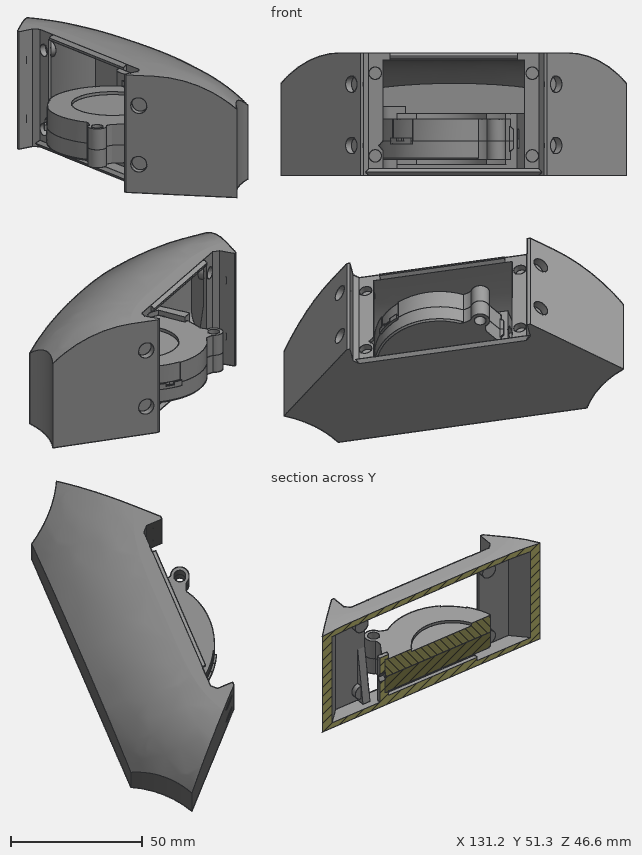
import cadquery as cq
import math

HALF_WIDTH = 65.6
HEIGHT = 46.6
DEPTH = 47.9
FRONT_HALF = 35.5
BACK_HALF = 48.0
SIDE_SAG = 2.0
CORNER_Y = HALF_WIDTH - FRONT_HALF
SIN_45 = math.sqrt(0.5)

DOME_SECTIONS = [(0, 49.2, 60.9), (30, 55.8, 55.5), (45, 60.9, 49.4)]
DOME_AXIS_Y = -FRONT_HALF
DOME_INNER_RADIUS = 26.3
DOME_OUTER_RADIUS = 99.8

ROOF = 2.8
FLOOR = 2.6
WALL = 3.3
FLANK_FILLET = 4.6

RECESS_HALF = 34.3
RECESS_DEPTH = 8.3
RECESS_CHAMFER = 2.0
OPENING_HALF = 26.8
FRONT_WALL = 1.3
FRONT_WALL_BACK = RECESS_DEPTH + FRONT_WALL
OPENING_TOP = HEIGHT - ROOF
GUSSET_TOP = 26.3
GUSSET_BACK = 13.4
GUSSET_WIDTH = 3.3
RIDGE = 1.2
TOP_RIDGE = 1.5
TOP_RIDGE_HALF = 24.2
TOP_RIDGE_FLAT_TOP = 45.4
TOP_RIDGE_FLAT_BOTTOM = 44.6

SCREW_DIAMETER = 4.7
SCREW_X = 29.8
SCREW_HEIGHTS = (7.5, 38.9)
SCREW_DEPTH = 2.6
BOSS_DIAMETER = 6.0
BOSS_BACK = 11.8
WING_HOLE_DIAMETER = 6.2
WING_HOLE_Y = 3.4
WING_HOLE_HEIGHTS = (11.4, 34.7)
WING_HOLE_DEPTH = 3.2

FAN_X = -3.7
FAN_RADIUS = 24.8
FAN_Y = FAN_RADIUS - 3.4
FAN_BACK = DEPTH - WALL
FAN_BOTTOM = 6.0
FAN_SPLIT = 13.1
FAN_TOP = 21.4
FAN_EDGE_CHAMFER = 0.7
EAR_X = 16.0
EAR_Y = 0.4
EAR_RADIUS = 3.5
EAR_HOLE_DIAMETER = 4.5
SHOULDER_X = 21.5
SHOULDER_Y = 13.8
SHOULDER_FRONT_X = 17.3
SHOULDER_FRONT_Y = 6.5
NECK_LEFT = [(7.2, 0.4), (11.5, -0.3), (14.3, -2.2)]
NECK_RIGHT = [(18.1, 2.5), (17.2, 4.5), (SHOULDER_FRONT_X, SHOULDER_FRONT_Y)]
INLET_X = -4.9
INLET_Y = 22.6
INLET_DIAMETER = 31.2
INLET_DEPTH = 1.2
LUG_BOTTOM = 10.2
LUG_TOP = 17.6
LUG_REACH = 1.0
LUG_LENGTH = 0.7
CLIP_START = 218.0
CLIP_END = 241.0
CLIP_MIDDLE = (CLIP_START + CLIP_END) / 2
CLIP_REACH = 0.9
CLIP_BOTTOM = 12.1
CLIP_TOP = 14.3
CLIP_SLOT = 3.4
CLIP_RELIEF = 0.4

CRADLE_TOP = 23.5
CRADLE_FLOOR = 4.2
CRADLE_FRONT = 14.0
CRADLE_LEFT = -21.5
CRADLE_RIGHT_FRONT = 24.0
CRADLE_RIGHT_BACK = 27.3
LIP_RADIUS = 18.6
LIP_RIGHT_FRONT = 19.7
LIP_CORNER = (21.5, 26.0)
LIP_CORNER_MIDDLE = (16.5, 28.5)
LIP_CORNER_END_X = 12.5
LIP_FLAT_X = -14.0
POST_LEFT = -28.2
POST_ROUND = 4.0
POST_RIGHT = -18.2
POST_FRONT = 39.4
POST_TOP = 26.1
WINDOW_Y = 18.4
NOTCH_X = -28.5


def prism(points, bottom, top):
    """Vertical prism over a closed plan outline."""
    return cq.Workplane("XY", origin=(0, 0, bottom)).polyline(points).close().extrude(top - bottom)


def disc(x, y, radius, bottom, top):
    return cq.Workplane("XY", origin=(x, y, bottom)).circle(radius).extrude(top - bottom)


def slab(bottom, top):
    """Level slab wider than the whole housing."""
    return disc(0, 0, 2 * HALF_WIDTH, bottom, top)


def plan_block(inset, front):
    """Full-height body over the plan outline, with all outer sides moved in by `inset`."""
    back = DEPTH - inset
    corner_x = HALF_WIDTH - inset * math.sqrt(2)
    back_half = BACK_HALF - inset * math.tan(math.pi / 8)
    front_half = FRONT_HALF - inset * math.sqrt(2) + front
    middle_x = (corner_x + back_half) / 2 - SIDE_SAG * SIN_45
    middle_y = (CORNER_Y + back) / 2 - SIDE_SAG * SIN_45
    return (
        cq.Workplane("XY")
        .moveTo(-front_half, front)
        .lineTo(front_half, front)
        .lineTo(corner_x, CORNER_Y)
        .threePointArc((middle_x, middle_y), (back_half, back))
        .lineTo(-back_half, back)
        .threePointArc((-middle_x, middle_y), (-corner_x, CORNER_Y))
        .close()
        .extrude(HEIGHT)
    )


def dome_section(angle, flat_radius, arc_radius, inset):
    """Upright closed section of the dome in the plane turned by `angle` from +Y."""
    turn = math.radians(angle)
    plane = cq.Plane(
        origin=(0, DOME_AXIS_Y, 0),
        xDir=(math.sin(turn), math.cos(turn), 0),
        normal=(math.cos(turn), -math.sin(turn), 0),
    )
    top = HEIGHT - inset
    radius = arc_radius - inset

    def arc_height(reach):
        return top - radius + math.sqrt(radius**2 - reach**2)

    reach = DOME_OUTER_RADIUS - flat_radius
    arc_middle = (flat_radius + reach / 2, arc_height(reach / 2))
    arc_end = (DOME_OUTER_RADIUS, arc_height(reach))
    return (
        cq.Workplane(plane)
        .moveTo(DOME_INNER_RADIUS, 0)
        .lineTo(DOME_INNER_RADIUS, top)
        .lineTo(flat_radius, top)
        .threePointArc(arc_middle, arc_end)
        .lineTo(DOME_OUTER_RADIUS, 0)
        .close()
        .wires()
        .val()
    )


def dome(inset):
    """Domed solid lofted through sections from one wing plane to the other."""
    left = [(-angle, flat, arc) for angle, flat, arc in reversed(DOME_SECTIONS[1:])]
    wires = [dome_section(*section, inset) for section in left + DOME_SECTIONS]
    return cq.Workplane(cq.Solid.makeLoft(wires))


def hollow():
    """Inner space, rounded where the floor meets the curved rear flanks."""
    space = plan_block(WALL, FRONT_WALL_BACK).cut(slab(0, FLOOR))
    space = space.faces("<Z").edges("%CIRCLE").fillet(FLANK_FILLET)
    return space.intersect(dome(ROOF))


def recess():
    inner_half = RECESS_HALF - RECESS_CHAMFER
    side_depth = RECESS_DEPTH - RECESS_CHAMFER
    return prism(
        [(-RECESS_HALF, 0), (RECESS_HALF, 0), (RECESS_HALF, side_depth), (inner_half, RECESS_DEPTH),
         (-inner_half, RECESS_DEPTH), (-RECESS_HALF, side_depth)],
        0, HEIGHT,
    )


def opening():
    return prism(
        [(-OPENING_HALF, RECESS_DEPTH), (OPENING_HALF, RECESS_DEPTH), (OPENING_HALF, FRONT_WALL_BACK),
         (-OPENING_HALF, FRONT_WALL_BACK)],
        FLOOR, OPENING_TOP,
    )


def snap_ridge(profile, half_length):
    """Ridge along the width of the recess; the profile is a list of (y, z) points."""
    return cq.Workplane("YZ").polyline(profile).close().extrude(half_length, both=True)


def snap_ridges():
    bottom = snap_ridge(
        [(RECESS_DEPTH, 0), (RECESS_DEPTH - RIDGE, FLOOR / 2), (RECESS_DEPTH, FLOOR)],
        RECESS_HALF - RECESS_CHAMFER + RIDGE,
    )
    crest = RECESS_DEPTH - TOP_RIDGE
    top = snap_ridge(
        [(RECESS_DEPTH, HEIGHT), (crest, TOP_RIDGE_FLAT_TOP), (crest, TOP_RIDGE_FLAT_BOTTOM),
         (RECESS_DEPTH, OPENING_TOP)],
        TOP_RIDGE_HALF,
    )
    return bottom.union(top)


def blind_holes():
    """Screw holes in the recess floor and holes square to the wings, on both sides."""
    solids = []
    for side in (-1, 1):
        for z in SCREW_HEIGHTS:
            start = cq.Vector(side * SCREW_X, RECESS_DEPTH, z)
            solids.append(cq.Solid.makeCylinder(SCREW_DIAMETER / 2, SCREW_DEPTH, start, cq.Vector(0, 1, 0)))
        for z in WING_HOLE_HEIGHTS:
            start = cq.Vector(side * (FRONT_HALF + WING_HOLE_Y), WING_HOLE_Y, z)
            inward = cq.Vector(-side, 1, 0)
            solids.append(cq.Solid.makeCylinder(WING_HOLE_DIAMETER / 2, WING_HOLE_DEPTH, start, inward))
    return cq.Workplane(cq.Compound.makeCompound(solids))


def hexagon(y, half_length):
    """Hexagonal bar from the middle towards +X, at the height of the blower lug."""
    middle = (LUG_BOTTOM + LUG_TOP) / 2
    tall = (LUG_TOP - LUG_BOTTOM) / 2
    return (
        cq.Workplane("YZ", origin=(0, y, middle))
        .polyline([(-tall, 0), (-tall / 2, tall), (tall / 2, tall),
                   (tall, 0), (tall / 2, -tall), (-tall / 2, -tall)])
        .close()
        .extrude(half_length)
    )


def lip_opening(bottom, top):
    """Cutout that leaves the faces of the blower clear: round at the back, open at the front."""
    corner_end = (LIP_CORNER_END_X, INLET_Y + math.sqrt(LIP_RADIUS**2 - (LIP_CORNER_END_X - INLET_X) ** 2))
    flat_y = INLET_Y + math.sqrt(LIP_RADIUS**2 - (LIP_FLAT_X - INLET_X) ** 2)
    front = (
        cq.Workplane("XY", origin=(0, 0, bottom))
        .moveTo(-HALF_WIDTH, 0)
        .lineTo(LIP_RIGHT_FRONT, 0)
        .lineTo(LIP_RIGHT_FRONT, CRADLE_FRONT)
        .lineTo(*LIP_CORNER)
        .threePointArc(LIP_CORNER_MIDDLE, corner_end)
        .lineTo(LIP_FLAT_X, corner_end[1])
        .lineTo(LIP_FLAT_X, flat_y)
        .lineTo(-HALF_WIDTH, flat_y)
        .close()
        .extrude(top - bottom)
    )
    return front.union(disc(INLET_X, INLET_Y, LIP_RADIUS, bottom, top))


def cradle():
    """Block around the blower, with lips over and under it and a taller post at its left end."""
    back = DEPTH - WALL / 2
    block = prism(
        [(CRADLE_LEFT, CRADLE_FRONT), (CRADLE_RIGHT_FRONT, CRADLE_FRONT), (CRADLE_RIGHT_BACK, back),
         (CRADLE_LEFT, back)],
        FLOOR / 2, CRADLE_TOP,
    )
    block = block.cut(lip_opening(CRADLE_FLOOR, CRADLE_TOP)).cut(hexagon(WINDOW_Y, HALF_WIDTH))
    post = prism(
        [(POST_LEFT, POST_FRONT), (POST_RIGHT, POST_FRONT), (POST_RIGHT, back), (POST_LEFT, back)],
        FLOOR / 2, POST_TOP,
    )
    front_left_edge = cq.selectors.NearestToPointSelector((POST_LEFT, POST_FRONT, POST_TOP / 2))
    post = post.edges(front_left_edge).fillet(POST_ROUND)
    return block.union(post).cut(fan_shell(FAN_BOTTOM, FAN_TOP))


def screw_bosses():
    length = BOSS_BACK - RECESS_DEPTH
    bosses = [
        cq.Solid.makeCylinder(BOSS_DIAMETER / 2, length, cq.Vector(x, RECESS_DEPTH, z), cq.Vector(0, 1, 0))
        for x in (-SCREW_X, SCREW_X)
        for z in SCREW_HEIGHTS
    ]
    return cq.Workplane(cq.Compound.makeCompound(bosses))


def gusset():
    """Rib behind the right edge of the opening, growing deeper towards the floor."""
    return (
        cq.Workplane("YZ", origin=(OPENING_HALF, 0, 0))
        .polyline([(RECESS_DEPTH, 0), (GUSSET_BACK, 0),
                   (FRONT_WALL_BACK, GUSSET_TOP), (RECESS_DEPTH, GUSSET_TOP)])
        .close()
        .extrude(GUSSET_WIDTH)
    )


def front_notch():
    """Pointed notch in the left edge of the opening, beside the rim of the blower."""
    depth = abs(NOTCH_X) - OPENING_HALF
    return (
        cq.Workplane("XZ", origin=(0, FRONT_WALL_BACK, 0))
        .polyline([(-OPENING_HALF, FAN_SPLIT), (NOTCH_X, FAN_SPLIT - depth),
                   (-OPENING_HALF, LUG_BOTTOM - depth / 2)])
        .close()
        .extrude(FRONT_WALL)
    )


def make_housing():
    body = plan_block(0, 0).intersect(dome(0))
    body = body.cut(hollow()).cut(recess()).cut(opening())
    body = body.union(snap_ridges()).union(cradle()).union(screw_bosses()).union(gusset())
    return body.cut(blind_holes()).cut(front_notch())


def fan_shell(bottom, top):
    """Slice of the blower: round scroll, right-hand outlet duct, and screw ear with hollow necks."""
    scroll = disc(FAN_X, FAN_Y, FAN_RADIUS, bottom, top)
    front = (
        cq.Workplane("XY", origin=(0, 0, bottom))
        .moveTo(FAN_X, FAN_Y)
        .lineTo(*NECK_LEFT[0])
        .threePointArc(*NECK_LEFT[1:])
        .lineTo(EAR_X, EAR_Y)
        .lineTo(*NECK_RIGHT[0])
        .threePointArc(*NECK_RIGHT[1:])
        .lineTo(SHOULDER_X, SHOULDER_Y)
        .lineTo(SHOULDER_X, FAN_BACK)
        .lineTo(FAN_X, FAN_BACK)
        .close()
        .extrude(top - bottom)
    )
    beyond_back = prism(
        [(-HALF_WIDTH, FAN_BACK), (HALF_WIDTH, FAN_BACK), (HALF_WIDTH, 2 * DEPTH), (-HALF_WIDTH, 2 * DEPTH)],
        bottom, top,
    )
    ear = disc(EAR_X, EAR_Y, EAR_RADIUS, bottom, top)
    return scroll.cut(beyond_back).union(front).union(ear)


def ear_hole():
    return disc(EAR_X, EAR_Y, EAR_HOLE_DIAMETER / 2, FAN_BOTTOM, FAN_TOP)


def fan_lug():
    """Small tapered lug on the tip of the shoulder, shared by both halves of the blower."""
    tip = SHOULDER_X + LUG_REACH
    root = SHOULDER_X - LUG_REACH
    return (
        cq.Workplane("XZ", origin=(0, SHOULDER_Y, 0))
        .polyline([(root, LUG_BOTTOM - LUG_REACH), (SHOULDER_X, LUG_BOTTOM - LUG_REACH), (tip, LUG_BOTTOM),
                   (tip, LUG_TOP), (SHOULDER_X, LUG_TOP + LUG_REACH), (root, LUG_TOP + LUG_REACH)])
        .close()
        .extrude(LUG_LENGTH)
    )


def clip_sector(bottom, top):
    """Wedge of the blower that covers the angles of the rim clip."""
    corners = [(FAN_X, FAN_Y)]
    for angle in (CLIP_START, CLIP_MIDDLE, CLIP_END):
        turn = math.radians(angle)
        corners.append((FAN_X + 2 * FAN_RADIUS * math.cos(turn), FAN_Y + 2 * FAN_RADIUS * math.sin(turn)))
    return prism(corners, bottom, top)


def clip_relief():
    """Shallow step in the rim of the cover, above the clip."""
    band = slab(FAN_SPLIT, FAN_TOP).cut(disc(FAN_X, FAN_Y, FAN_RADIUS - CLIP_RELIEF, FAN_SPLIT, FAN_TOP))
    return band.intersect(clip_sector(FAN_SPLIT, FAN_TOP))


def rim_clip():
    """Slotted clip that stands off the rim of the lower half and overlaps the seam."""
    ring = disc(FAN_X, FAN_Y, FAN_RADIUS + CLIP_REACH, CLIP_BOTTOM, CLIP_TOP)
    ring = ring.cut(disc(FAN_X, FAN_Y, FAN_RADIUS, FAN_SPLIT, CLIP_TOP))
    slot = (
        cq.Workplane("XY")
        .box(FAN_RADIUS, CLIP_SLOT, CLIP_TOP - FAN_SPLIT, centered=(False, True, False))
        .translate((FAN_RADIUS, 0, FAN_SPLIT))
        .rotate((0, 0, 0), (0, 0, 1), CLIP_MIDDLE)
        .translate((FAN_X, FAN_Y, 0))
    )
    return ring.intersect(clip_sector(CLIP_BOTTOM, CLIP_TOP)).cut(slot)


def make_fan_cover():
    body = fan_shell(FAN_SPLIT, FAN_TOP)
    body = body.union(fan_lug().intersect(slab(FAN_SPLIT, FAN_TOP)))
    inlet = disc(INLET_X, INLET_Y, INLET_DIAMETER / 2, FAN_TOP - INLET_DEPTH, FAN_TOP)
    return body.cut(inlet).cut(clip_relief()).cut(ear_hole())


def make_fan_base():
    body = fan_shell(FAN_BOTTOM, FAN_SPLIT)
    scroll_edge = cq.selectors.RadiusNthSelector(-1)
    body = body.faces("<Z").edges("%CIRCLE").edges(scroll_edge).chamfer(FAN_EDGE_CHAMFER)
    body = body.union(fan_lug().intersect(slab(FAN_BOTTOM, FAN_SPLIT)))
    return body.union(rim_clip()).cut(ear_hole())


housing = make_housing()
fan_cover = make_fan_cover()
fan_base = make_fan_base()
result = cq.Compound.makeCompound([housing.val(), fan_cover.val(), fan_base.val()])